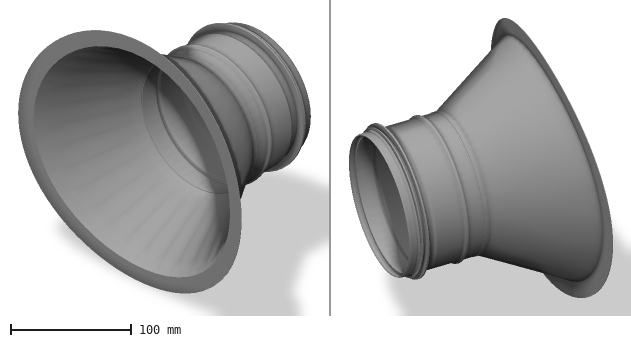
import cadquery as cq
import math

SHEET = 0.5

TUBE_DIA = 124.0
GROOVE_DIA = 119.2
END_TAPER_DIA = 122.6
END_TAPER_DEPTH = 1.5
GROOVE_START = 6.2
GROOVE_END = 20.8
RAMP_END = 24.8
BEAD_DIA = 128.0
BEAD_CENTRE = 52.0
BEAD_HALF_WIDTH = 3.7
TUBE_END = 72.3
BEAD_CREST_SHARE = 0.44

SEAL_STRIP_DIA = 120.5
SEAL_BASE_DIA = 123.1
SEAL_NOTCH_DIA = 121.6
SMALL_LIP_DIA = 126.0
MIDDLE_LIP_DIA = 129.5
LARGE_LIP_DIA = 134.5
SMALL_LIP_START = 7.5
SMALL_LIP_END = 9.2
MIDDLE_LIP_START = 10.2
MIDDLE_LIP_END = 11.1
LARGE_LIP_START = 14.0
LARGE_LIP_END = 15.5

COLLAR_START = 68.1
CONE_START = 73.0
CONE_SLOPE = math.tan(math.radians(30))
TOTAL_DEPTH = 157.0
TRIM_DEPTH = TOTAL_DEPTH + 5
FLANGE_WIDTH = 247.7
FLANGE_HEIGHT = 236.8
SADDLE_RADIUS = 693.7


def point(diameter, depth):
    """Profile point from a diameter and a depth below the open end."""
    return (diameter / 2, -depth)


def revolved(profile):
    return profile.close().revolve(360, (0, 0, 0), (0, 1, 0))


def revolved_polygon(points):
    return revolved(cq.Workplane("XY").polyline(points))


def spigot_solid(inset):
    """Solid bounded by the tube's surface moved inward by inset."""
    shrink = 2 * inset
    tube_dia = TUBE_DIA - shrink
    groove_dia = GROOVE_DIA - shrink
    near_wall = GROOVE_START - inset
    height = (BEAD_DIA - TUBE_DIA) / 2
    radius_sum = (BEAD_HALF_WIDTH**2 + height**2) / (2 * height)
    crest_radius = BEAD_CREST_SHARE * radius_sum - inset
    foot_radius = radius_sum - BEAD_CREST_SHARE * radius_sum + inset
    sweep = math.asin(BEAD_HALF_WIDTH / radius_sum)
    half_width = BEAD_HALF_WIDTH
    crest_centre = (BEAD_DIA / 2 - inset) - crest_radius
    foot_centre = tube_dia / 2 + foot_radius

    def crest(angle):
        return (
            crest_centre + crest_radius * math.cos(angle),
            -BEAD_CENTRE + crest_radius * math.sin(angle),
        )

    def foot(angle, side):
        return (
            foot_centre - foot_radius * math.cos(angle),
            -BEAD_CENTRE + side * (half_width - foot_radius * math.sin(angle)),
        )

    profile = (
        cq.Workplane("XY")
        .moveTo(0, 0)
        .lineTo(*point(END_TAPER_DIA - shrink, 0))
        .lineTo(*point(tube_dia, END_TAPER_DEPTH))
        .lineTo(*point(tube_dia, near_wall))
        .lineTo(*point(groove_dia, near_wall))
        .lineTo(*point(groove_dia, GROOVE_END))
        .lineTo(*point(tube_dia, RAMP_END))
        .lineTo(*foot(0, 1))
        .threePointArc(foot(sweep / 2, 1), foot(sweep, 1))
        .threePointArc(crest(0), crest(-sweep))
        .threePointArc(foot(sweep / 2, -1), foot(0, -1))
        .lineTo(*point(tube_dia, TUBE_END))
        .lineTo(0, -TUBE_END)
    )
    return revolved(profile)


def make_spigot():
    return spigot_solid(0).cut(spigot_solid(SHEET))


def make_seal():
    ramp_share = (SEAL_STRIP_DIA - GROOVE_DIA) / (TUBE_DIA - GROOVE_DIA)
    strip_end = GROOVE_END + ramp_share * (RAMP_END - GROOVE_END)
    return revolved_polygon(
        [
            point(GROOVE_DIA, GROOVE_START),
            point(SEAL_BASE_DIA, GROOVE_START),
            point(SEAL_BASE_DIA, SMALL_LIP_START),
            point(SMALL_LIP_DIA, SMALL_LIP_END),
            point(SEAL_NOTCH_DIA, SMALL_LIP_END),
            point(SEAL_NOTCH_DIA, MIDDLE_LIP_START),
            point(MIDDLE_LIP_DIA, MIDDLE_LIP_START),
            point(MIDDLE_LIP_DIA, MIDDLE_LIP_END),
            point(SEAL_BASE_DIA, MIDDLE_LIP_END),
            point(SEAL_BASE_DIA, LARGE_LIP_START),
            point(LARGE_LIP_DIA, LARGE_LIP_START),
            point(LARGE_LIP_DIA, LARGE_LIP_END),
            point(SEAL_STRIP_DIA, LARGE_LIP_END),
            point(SEAL_STRIP_DIA, strip_end),
            point(GROOVE_DIA, GROOVE_END),
        ]
    )


def outside_duct(radius):
    """Block on the spigot side of a duct cylinder of this radius, around the shared duct axis."""
    axis_depth = TOTAL_DEPTH + math.sqrt(SADDLE_RADIUS**2 - (FLANGE_WIDTH / 2) ** 2)
    half_span = FLANGE_WIDTH
    side_depth = axis_depth - math.sqrt(radius**2 - half_span**2)
    return (
        cq.Workplane("XY")
        .moveTo(-half_span, 0)
        .lineTo(half_span, 0)
        .lineTo(half_span, -side_depth)
        .threePointArc((0, radius - axis_depth), (-half_span, -side_depth))
        .close()
        .extrude(FLANGE_HEIGHT, both=True)
    )


def cone_solid(inset):
    """Collar and cone surface moved inward by inset, run on past the flange."""
    collar_dia = TUBE_DIA + 2 * SHEET - 2 * inset
    bend = CONE_START + inset * math.tan(math.atan(CONE_SLOPE) / 2)
    mouth_dia = collar_dia + 2 * CONE_SLOPE * (TRIM_DEPTH - bend)
    return revolved_polygon(
        [
            (0, -COLLAR_START),
            point(collar_dia, COLLAR_START),
            point(collar_dia, bend),
            point(mouth_dia, TRIM_DEPTH),
            (0, -TRIM_DEPTH),
        ]
    )


def make_cone():
    clear_of_duct = outside_duct(SADDLE_RADIUS)
    bore = cone_solid(SHEET)
    wall = cone_solid(0).cut(bore).intersect(clear_of_duct)
    flange = (
        cq.Workplane("XZ")
        .ellipse(FLANGE_WIDTH / 2, FLANGE_HEIGHT / 2)
        .extrude(TRIM_DEPTH)
        .intersect(clear_of_duct)
        .cut(outside_duct(SADDLE_RADIUS + SHEET))
        .cut(bore)
    )
    return wall.union(flange)


spigot = make_spigot()
seal = make_seal()
cone = make_cone()

result = cq.Compound.makeCompound([spigot.val(), seal.val(), cone.val()])